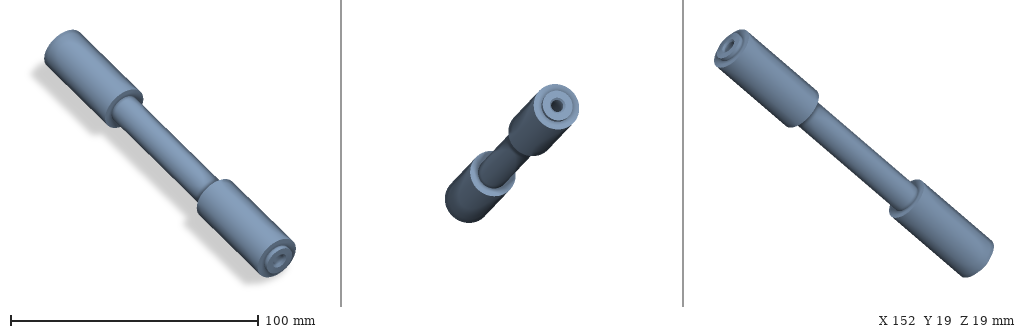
import cadquery as cq

length = 152.0
sleeve_diameter = 19.0
rod_diameter = 12.5
stub_length = 2.0
sleeve_length = 42.3

hole_diameter = 5.0
hole_mouth_diameter = 6.5
hole_depth = 15.2
drill_point_depth = 1.5


def make_shaft():
    """Slim rod with a thick sleeve near each end, turned about the X axis."""
    end = length / 2
    sleeve_outer = end - stub_length
    sleeve_inner = sleeve_outer - sleeve_length
    rod_radius = rod_diameter / 2
    sleeve_radius = sleeve_diameter / 2
    return (
        cq.Workplane("XY")
        .moveTo(-end, 0)
        .lineTo(-end, -rod_radius)
        .lineTo(-sleeve_outer, -rod_radius)
        .lineTo(-sleeve_outer, -sleeve_radius)
        .lineTo(-sleeve_inner, -sleeve_radius)
        .lineTo(-sleeve_inner, -rod_radius)
        .lineTo(sleeve_inner, -rod_radius)
        .lineTo(sleeve_inner, -sleeve_radius)
        .lineTo(sleeve_outer, -sleeve_radius)
        .lineTo(sleeve_outer, -rod_radius)
        .lineTo(end, -rod_radius)
        .lineTo(end, 0)
        .close()
        .revolve(360, (0, 0, 0), (1, 0, 0))
    )


def make_end_hole(side):
    """Cutter for the hole in one end; side is -1 or 1."""
    end = side * length / 2
    radius = hole_diameter / 2
    mouth_radius = hole_mouth_diameter / 2
    countersink_depth = mouth_radius - radius
    return (
        cq.Workplane("XY")
        .moveTo(end, 0)
        .lineTo(end, mouth_radius)
        .lineTo(end - side * countersink_depth, radius)
        .lineTo(end - side * hole_depth, radius)
        .lineTo(end - side * (hole_depth + drill_point_depth), 0)
        .close()
        .revolve(360, (0, 0, 0), (1, 0, 0))
    )


result = make_shaft()
for side in (-1, 1):
    result = result.cut(make_end_hole(side))